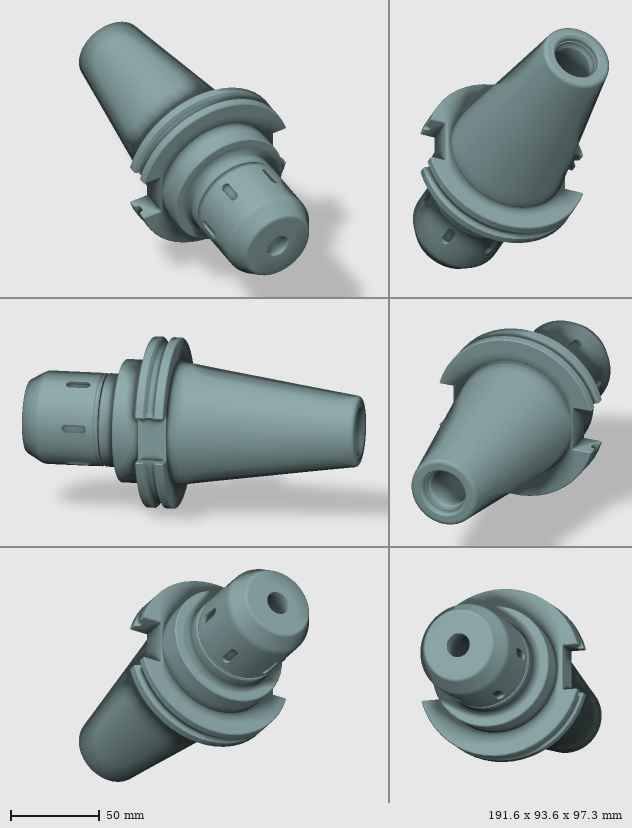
import cadquery as cq
import math

shank_small_diameter = 40.0
shank_diameter = 70.1
taper_end_x = 103.3
shank_edge_radius = 2.5
shank_root_radius = 0.5

flange_start_x = 104.6
flange_end_x = 121.0
flange_diameter = 97.3
flange_edge_chamfer = 0.5
groove_start_x = 109.6
groove_floor_start_x = 111.1
groove_floor_end_x = 114.5
groove_end_x = 116.3
groove_floor_diameter = 91.2
groove_floor_radius = 0.5
drive_slot_width = 25.7
front_slot_floor_y = -35.5
back_slot_floor_y = 38.0

collar_end_x = 136.6
collar_diameter = shank_diameter
collar_chamfer = 0.5
neck_diameter = 53.0
neck_fillet = 2.9
neck_end_x = 146.0
neck_chamfer = 0.5
nose_diameter = 46.8
nose_end_x = 181.3

mouth_diameter = 28.7
counterbore_diameter = 26.3
counterbore_end_x = 4.0
pilot_diameter = 25.0
pilot_end_x = 6.0
thread_diameter = 22.2
thread_start_x = 8.2
thread_end_x = 30.7
through_diameter = 13.8
drill_point_angle = 118.0

total_length = 191.6
nut_diameter = neck_diameter
nut_start_x = 146.8
nut_groove_start_x = 147.7
nut_groove_end_x = 148.9
nut_groove_diameter = 52.0
nut_groove_chamfer = 0.5
nut_cone_start_x = nose_end_x
nut_cone_angle = 30.0
nut_shoulder_radius = 5.7
nut_face_radius = 2.0

spanner_slot_count = 6
spanner_slot_start_x = 153.3
spanner_slot_length = 14.0
spanner_slot_width = 5.0
spanner_slot_depth = 2.5


def revolve_about_x(profile):
    return profile.close().revolve(360, (0, 0, 0), (1, 0, 0))


def disc(start_x, end_x, diameter):
    return cq.Workplane("YZ", origin=(start_x, 0, 0)).circle(diameter / 2).extrude(end_x - start_x)


def make_shank():
    shank_radius = shank_diameter / 2
    shank = revolve_about_x(
        cq.Workplane("XY")
        .lineTo(0, shank_small_diameter / 2)
        .lineTo(taper_end_x, shank_radius)
        .lineTo(flange_start_x - shank_root_radius, shank_radius)
        .radiusArc((flange_start_x, shank_radius + shank_root_radius), -shank_root_radius)
        .lineTo(flange_start_x, 0)
    )
    return shank.faces("<X").edges().fillet(shank_edge_radius)


def make_gripper_groove():
    rim_radius = flange_diameter / 2
    floor_radius = groove_floor_diameter / 2
    groove = revolve_about_x(
        cq.Workplane("XY")
        .moveTo(groove_start_x, rim_radius)
        .lineTo(groove_floor_start_x, floor_radius)
        .lineTo(groove_floor_end_x, floor_radius)
        .lineTo(groove_end_x, rim_radius)
    )
    return groove.edges(cq.selectors.RadiusNthSelector(0)).fillet(groove_floor_radius)


def make_drive_slot(floor_y, side):
    depth = flange_diameter / 2 - abs(floor_y)
    return (
        cq.Workplane("YZ", origin=(flange_start_x, 0, 0))
        .center(floor_y + side * depth / 2, 0)
        .rect(depth, drive_slot_width)
        .extrude(flange_end_x - flange_start_x)
    )


def make_flange():
    flange = disc(flange_start_x, flange_end_x, flange_diameter)
    flange = flange.cut(make_drive_slot(front_slot_floor_y, -1))
    flange = flange.cut(make_drive_slot(back_slot_floor_y, 1))
    rim_edge_min_y = (flange_diameter / 2 + back_slot_floor_y) / 2
    slot_rim_edges = flange.edges("|X").filter(lambda edge: abs(edge.Center().y) > rim_edge_min_y)
    flange = flange.edges("%CIRCLE or |Y").add(slot_rim_edges).chamfer(flange_edge_chamfer)
    return flange.cut(make_gripper_groove())


def make_collar_and_nose():
    collar_radius = collar_diameter / 2
    neck_radius = neck_diameter / 2
    return revolve_about_x(
        cq.Workplane("XY")
        .moveTo(flange_end_x, 0)
        .lineTo(flange_end_x, collar_radius)
        .lineTo(collar_end_x - collar_chamfer, collar_radius)
        .lineTo(collar_end_x, collar_radius - collar_chamfer)
        .lineTo(collar_end_x, neck_radius + neck_fillet)
        .radiusArc((collar_end_x + neck_fillet, neck_radius), -neck_fillet)
        .lineTo(neck_end_x - neck_chamfer, neck_radius)
        .lineTo(neck_end_x, neck_radius - neck_chamfer)
        .lineTo(neck_end_x, nose_diameter / 2)
        .lineTo(nose_end_x, nose_diameter / 2)
        .lineTo(nose_end_x, 0)
    )


def make_bore():
    mouth_chamfer = (mouth_diameter - counterbore_diameter) / 2
    point_length = (thread_diameter - through_diameter) / 2 / math.tan(math.radians(drill_point_angle / 2))
    return revolve_about_x(
        cq.Workplane("XY")
        .lineTo(0, mouth_diameter / 2)
        .lineTo(mouth_chamfer, counterbore_diameter / 2)
        .lineTo(counterbore_end_x, counterbore_diameter / 2)
        .lineTo(counterbore_end_x, pilot_diameter / 2)
        .lineTo(pilot_end_x, pilot_diameter / 2)
        .lineTo(thread_start_x, thread_diameter / 2)
        .lineTo(thread_end_x, thread_diameter / 2)
        .lineTo(thread_end_x + point_length, through_diameter / 2)
        .lineTo(nose_end_x, through_diameter / 2)
        .lineTo(nose_end_x, 0)
    )


def make_holder():
    return make_shank().union(make_flange()).union(make_collar_and_nose()).cut(make_bore())


def make_nut_blank():
    nut_radius = nut_diameter / 2
    groove_radius = nut_groove_diameter / 2
    cone_length = total_length - nut_cone_start_x
    face_edge_radius = nut_radius - cone_length * math.tan(math.radians(nut_cone_angle))
    blank = revolve_about_x(
        cq.Workplane("XY")
        .moveTo(nut_start_x, 0)
        .lineTo(nut_start_x, groove_radius)
        .lineTo(nut_groove_start_x, nut_radius)
        .lineTo(nut_groove_start_x, groove_radius)
        .lineTo(nut_groove_end_x, groove_radius)
        .lineTo(nut_groove_end_x + nut_groove_chamfer, nut_radius)
        .lineTo(nut_cone_start_x, nut_radius)
        .lineTo(total_length, face_edge_radius)
        .lineTo(total_length, 0)
    )
    blank = blank.faces(">X").edges().fillet(nut_face_radius)
    shoulder = cq.selectors.NearestToPointSelector((nut_cone_start_x, 0, 0))
    return blank.edges("%CIRCLE").edges(shoulder).fillet(nut_shoulder_radius)


def make_spanner_slot():
    return (
        cq.Workplane("XZ", origin=(spanner_slot_start_x + spanner_slot_length / 2, -nut_diameter / 2, 0))
        .slot2D(spanner_slot_length, spanner_slot_width)
        .extrude(-spanner_slot_depth)
    )


def make_nut():
    nut = make_nut_blank()
    nut = nut.cut(disc(nut_start_x, nose_end_x, nose_diameter))
    nut = nut.cut(disc(nose_end_x, total_length, through_diameter))
    slot = make_spanner_slot()
    for index in range(spanner_slot_count):
        nut = nut.cut(slot.rotate((0, 0, 0), (1, 0, 0), index * 360 / spanner_slot_count))
    return nut


holder = make_holder()
nut = make_nut()
result = cq.Compound.makeCompound([holder.val(), nut.val()])